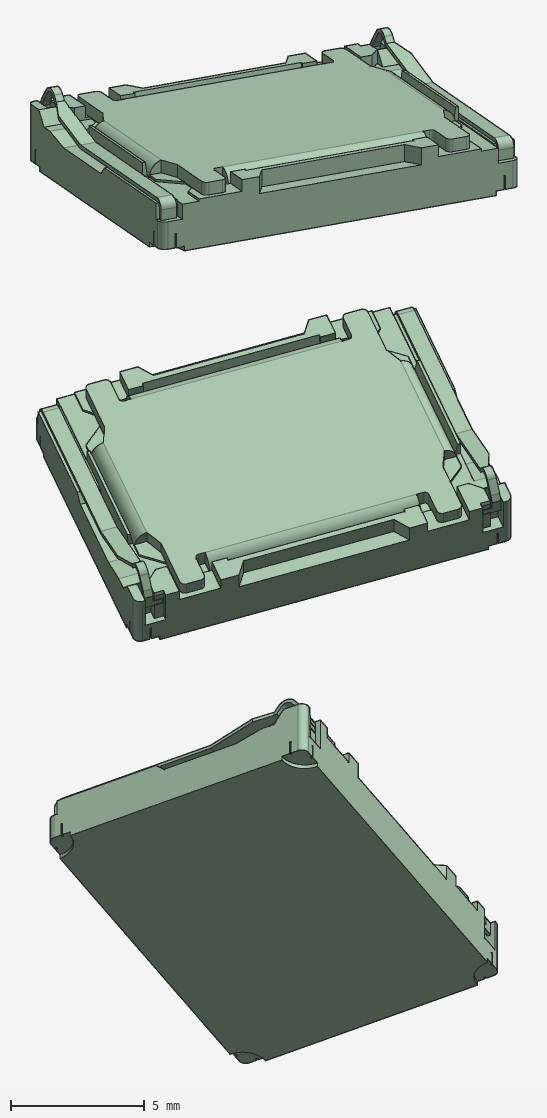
import cadquery as cq
import math

WIDTH = 11.0
LENGTH = 15.0
HEIGHT = 3.25
HALF_W = WIDTH / 2
HALF_L = LENGTH / 2

FRAME_TOP = 2.43
PAD_Z = 1.96
SHELF_Z = 1.88
SHELF_UNDERCUT = 0.08
CORNER_R = 0.28
ABOVE = FRAME_TOP + 0.15

PLATE_TOP = 2.48
ROLL_R = 0.63
ROLL_WIDTH = 0.5
ROLL_DROP = math.sqrt(ROLL_R**2 - (ROLL_R - ROLL_WIDTH) ** 2)
WELL_Z = PLATE_TOP - ROLL_DROP
PLATE_SIDE_X = 4.55
PLATE_TAB_X = 5.28
PLATE_END_Y = 5.6
TAB_INNER_Y = 4.62
TAB_CORNER_R = 0.202
RELIEF_CORNER_R = 0.15
SIDE_ROLL_Y = 4.2
END_ROLL_X = 2.37
END_SLOPE_X = 3.08
END_ROLL_Y = 6.4

TAB_POCKET_Y = (4.11, 5.76)
PAD_FLAT_X = 2.9
PAD_FOOT_X = 3.6
FAR_PAD_X = 4.28
FAR_PAD_Y = 5.91
BLOCK_X = -4.17
BLOCK_CHAMFER = 0.45
BAR_X = 2.2
BAR_TOP_Y = 6.5
BEVEL_Y = 3.51
BEVEL_W = 0.12

NOTCH_Z = 1.75
NOTCH_OUTER_Y = 3.39
NOTCH_INNER_Y = 2.98
NOTCH_DEPTH = 0.6

CHANNEL_Y = 6.62
CHANNEL_START_X = -4.59
CHANNEL_SLOPE_X = -3.68
CHANNEL_DEEP_X = (-2.55, 0.51)
CHANNEL_DEEP_Z = 1.59
CHANNEL_DROP_X = 5.08
CHANNEL_DROP_Z = 1.28
SLOT_Y = (6.68, 7.11)
SLOT_END_X = -4.62
SLOT_Z = 1.04
SLOT_MOUTH_Y = 6.3
RAMP_X = (-4.95, -4.83)
RAMP_Z = (1.26, 1.82)
MOUTH_X = -5.3
MOUTH_LIP_X = -5.25
MOUTH_LIP_Z = 2.3

SPRING_T = 0.15
SPRING_Z = 1.92
SPRING_Y = (6.74, 7.38)
HOOK_OUTER_Y = 7.08
TAPER_X = (-3.96, -3.21)
HOOK_X = -5.25
HOOK_BEND_Z = 2.34
HOOK_KNEE_Z = 2.58
CREST_X = -4.48
CREST_SLOPE = 52.0
CREST_BEND_R = 0.27
ARM_KNEE_Z = 2.8
ARM_FLAT_X = -1.41
SPRING_LEG_X = 5.19
LEG_BEND_R = 0.22
FOOT_Y = 6.35
FOOT_Z = (1.82, 2.07)

CORNER_CUT_R = 0.98
CORNER_CUT_H = 0.18
SLIT_INSET = 0.58
SLIT_W = 0.06
SLIT_TOP = 0.74
SLIT_DEPTH = 0.08


def block(x0, x1, y0, y1, z0, z1):
    """Box between two opposite corners."""
    return cq.Workplane("XY").box(x1 - x0, y1 - y0, z1 - z0, centered=False).translate((x0, y0, z0))


def prism(points, z0, z1):
    """Upright prism on an XY outline."""
    return cq.Workplane("XY").workplane(offset=z0).polyline(points).close().extrude(z1 - z0)


def xz_prism(points, y0, y1):
    """Prism along Y on an XZ outline."""
    return cq.Workplane("XZ", origin=(0, y0, 0)).polyline(points).close().extrude(y0 - y1)


def yz_prism(points, x0, x1):
    """Prism along X on a YZ outline."""
    return cq.Workplane("YZ", origin=(x0, 0, 0)).polyline(points).close().extrude(x1 - x0)


def both_ends(shape):
    """A feature of the +Y end together with its mirror at the -Y end."""
    return shape.union(shape.mirror("XZ"))


def both_sides(shape):
    """A feature of the +X side together with its mirror at the -X side."""
    return shape.union(shape.mirror("YZ"))


def plate_pocket():
    """Seat for the plate: a central well and the tab openings through the side walls."""
    well = block(-PLATE_SIDE_X, PLATE_SIDE_X, -PLATE_END_Y, PLATE_END_Y, PAD_Z, ABOVE)
    tabs = block(-HALF_W, HALF_W, *TAB_POCKET_Y, PAD_Z, ABOVE)
    end = block(BLOCK_X, HALF_W, PLATE_END_Y, CHANNEL_Y, PAD_Z, ABOVE)
    return well.union(both_ends(tabs.union(end)))


def roll_wells():
    """Deeper wells that take the rolled plate edges."""
    well_x = PLATE_SIDE_X - ROLL_WIDTH
    side = block(well_x, PLATE_SIDE_X, -TAB_INNER_Y, TAB_INNER_Y, WELL_Z, ABOVE)
    end = block(-END_ROLL_X, END_ROLL_X, END_ROLL_Y - ROLL_WIDTH, END_ROLL_Y, WELL_Z, ABOVE)
    return both_sides(side).union(both_ends(end))


def end_shelf():
    """Lower shelf between the plate pad and the spring channel."""
    under_plate_y = PLATE_END_Y - SHELF_UNDERCUT
    outline = [
        (BLOCK_X, under_plate_y),
        (-PAD_FOOT_X, under_plate_y),
        (-PAD_FOOT_X, PLATE_END_Y),
        (-PAD_FLAT_X, END_ROLL_Y),
        (PAD_FLAT_X, END_ROLL_Y),
        (PAD_FOOT_X, PLATE_END_Y),
        (PAD_FOOT_X, under_plate_y),
        (FAR_PAD_X, under_plate_y),
        (FAR_PAD_X, PLATE_END_Y),
        (FAR_PAD_X + FAR_PAD_Y - PLATE_END_Y, FAR_PAD_Y),
        (HALF_W, FAR_PAD_Y),
        (HALF_W, CHANNEL_Y),
        (CHANNEL_SLOPE_X, CHANNEL_Y),
        (CHANNEL_SLOPE_X, SLOT_Y[0]),
        (BLOCK_X - BLOCK_CHAMFER, SLOT_Y[0]),
        (BLOCK_X, SLOT_Y[0] - BLOCK_CHAMFER),
    ]
    return prism(outline, SHELF_Z, ABOVE)


def end_bar():
    """Low wall with a sloped inner face between the spring and the end roll."""
    outline = [
        (CHANNEL_Y, SHELF_Z),
        (END_ROLL_Y, SHELF_Z),
        (BAR_TOP_Y, FRAME_TOP),
        (CHANNEL_Y, FRAME_TOP),
    ]
    return yz_prism(outline, -BAR_X, BAR_X)


def spring_channel():
    """Channel under the spring, open to the end face and to the +X side."""
    outline = [
        (CHANNEL_START_X, ABOVE),
        (CHANNEL_START_X, FRAME_TOP),
        (BLOCK_X, SHELF_Z),
        (CHANNEL_SLOPE_X, SHELF_Z),
        (CHANNEL_DEEP_X[0], CHANNEL_DEEP_Z),
        (CHANNEL_DEEP_X[1], CHANNEL_DEEP_Z),
        (CHANNEL_DEEP_X[1] + SPRING_Z - CHANNEL_DEEP_Z, SPRING_Z),
        (CHANNEL_DROP_X, SPRING_Z),
        (CHANNEL_DROP_X, CHANNEL_DROP_Z),
        (HALF_W, CHANNEL_DROP_Z),
        (HALF_W, ABOVE),
    ]
    inner = xz_prism(outline, CHANNEL_Y, HALF_L)
    corner_block = block(-HALF_W, BLOCK_X, CHANNEL_Y, SLOT_Y[0], 0, ABOVE)
    return inner.cut(corner_block)


def hook_slot():
    """Slot in the -X side for the spring hook, widened at its mouth."""
    slot = xz_prism(
        [(-HALF_W, SLOT_Z), (RAMP_X[0], SLOT_Z), (RAMP_X[0], RAMP_Z[0]), (RAMP_X[1], RAMP_Z[1]),
         (SLOT_END_X, RAMP_Z[1]), (SLOT_END_X, ABOVE), (-HALF_W, ABOVE)],
        *SLOT_Y,
    )
    mouth = xz_prism(
        [(-HALF_W, SLOT_Z), (MOUTH_X, SLOT_Z), (MOUTH_X, MOUTH_LIP_Z),
         (MOUTH_LIP_X, FRAME_TOP), (-HALF_W, FRAME_TOP)],
        SLOT_MOUTH_Y, SLOT_Y[0],
    )
    return slot.union(mouth)


def side_notch():
    """Notch with slanted ends in the top edge of the +X wall."""
    outline = [
        (HALF_W, -NOTCH_OUTER_Y),
        (HALF_W - NOTCH_DEPTH, -NOTCH_INNER_Y),
        (HALF_W - NOTCH_DEPTH, NOTCH_INNER_Y),
        (HALF_W, NOTCH_OUTER_Y),
    ]
    return prism(outline, NOTCH_Z, ABOVE)


def side_bevel():
    """Sloped inner face of the +X wall beside the roll."""
    outline = [
        (PLATE_SIDE_X, WELL_Z),
        (PLATE_SIDE_X + BEVEL_W, FRAME_TOP),
        (PLATE_SIDE_X, FRAME_TOP),
    ]
    return xz_prism(outline, -BEVEL_Y, BEVEL_Y)


def underside_corner():
    """Round step and the two thin wall slits at one underside corner (+X, +Y)."""
    step = cq.Workplane("XY", origin=(HALF_W, HALF_L, 0)).circle(CORNER_CUT_R).extrude(CORNER_CUT_H)
    slit_x = HALF_W - SLIT_INSET
    slit_y = HALF_L - SLIT_INSET
    end_slit = block(slit_x - SLIT_W, slit_x, HALF_L - SLIT_DEPTH, HALF_L, 0, SLIT_TOP)
    side_slit = block(HALF_W - SLIT_DEPTH, HALF_W, slit_y - SLIT_W, slit_y, 0, SLIT_TOP)
    return step.union(end_slit).union(side_slit)


def make_frame():
    """Frame with the plate seat, spring channels, hook slots and wall notches."""
    frame = block(-HALF_W, HALF_W, -HALF_L, HALF_L, 0, FRAME_TOP)
    frame = frame.edges("|Z").fillet(CORNER_R)
    frame = frame.cut(plate_pocket()).cut(roll_wells())
    for feature in (end_shelf(), spring_channel(), hook_slot()):
        frame = frame.cut(both_ends(feature))
    for feature in (side_notch(), side_bevel()):
        frame = frame.cut(both_sides(feature))
    frame = frame.cut(both_sides(both_ends(underside_corner())))
    return frame.union(both_ends(end_bar()))


def roll_section(plane, foot):
    """Rolled edge section: an arc falling from the plate top to an upright foot."""
    start = foot - ROLL_WIDTH
    start_angle = math.atan2(ROLL_DROP, ROLL_R - ROLL_WIDTH)
    arc_x = foot - ROLL_R + ROLL_R * math.cos(start_angle / 2)
    arc_z = WELL_Z + ROLL_R * math.sin(start_angle / 2)
    section = plane.moveTo(start, WELL_Z).lineTo(start, PLATE_TOP)
    return section.threePointArc((arc_x, arc_z), (foot, WELL_Z)).close()


def make_plate():
    """Cover plate with four corner tabs and its edges rolled down between them."""
    roll_start_x = PLATE_SIDE_X - ROLL_WIDTH
    tabs = block(-PLATE_TAB_X, PLATE_TAB_X, TAB_INNER_Y, PLATE_END_Y, PAD_Z, PLATE_TOP)
    tabs = tabs.edges("|Z").fillet(TAB_CORNER_R)
    core = block(-roll_start_x, roll_start_x, -PLATE_END_Y, PLATE_END_Y, PAD_Z, PLATE_TOP)
    side_roll = cq.Workplane("XZ", origin=(0, SIDE_ROLL_Y, 0))
    side_roll = roll_section(side_roll, PLATE_SIDE_X).extrude(2 * SIDE_ROLL_Y)
    relief = block(roll_start_x, PLATE_SIDE_X, 0, TAB_INNER_Y, WELL_Z, PLATE_TOP)
    corner_web = block(0, roll_start_x + RELIEF_CORNER_R, SIDE_ROLL_Y, TAB_INNER_Y, WELL_Z, PLATE_TOP)
    relief = relief.edges("|Z and <X and >Y").fillet(RELIEF_CORNER_R)
    slope_end_y = END_ROLL_Y - ROLL_WIDTH
    slopes = prism(
        [(-END_SLOPE_X, PLATE_END_Y), (-END_ROLL_X, slope_end_y),
         (END_ROLL_X, slope_end_y), (END_SLOPE_X, PLATE_END_Y)],
        PAD_Z, PLATE_TOP,
    )
    end_roll = cq.Workplane("YZ", origin=(-END_ROLL_X, 0, 0))
    end_roll = roll_section(end_roll, END_ROLL_Y).extrude(2 * END_ROLL_X)
    plate = core.union(both_sides(both_ends(corner_web.cut(relief)))).union(both_sides(side_roll))
    return plate.union(both_ends(tabs.union(slopes).union(end_roll)))


def strip_outline(path, thickness):
    """Closed outline of a strip of even thickness along a bent centre line."""
    angles = [math.atan2(b[1] - a[1], b[0] - a[0]) for a, b in zip(path, path[1:])]
    left = []
    right = []
    for i, (x, z) in enumerate(path):
        before = angles[max(i - 1, 0)]
        after = angles[min(i, len(angles) - 1)]
        middle = (before + after) / 2
        reach = thickness / 2 / math.cos((after - before) / 2)
        dx = -reach * math.sin(middle)
        dz = reach * math.cos(middle)
        left.append((x + dx, z + dz))
        right.append((x - dx, z - dz))
    return left + right[::-1]


def round_bend(spring, x, z, inner_r):
    """Round one upward bend of the strip, with inner and outer faces concentric."""
    reach = 2 * SPRING_T
    window = cq.selectors.BoxSelector((x - reach, 0, z - reach), (x + reach, HALF_L, z + reach))
    spring = spring.edges("|Y").edges(window).edges("<Z").fillet(inner_r)
    return spring.edges("|Y").edges(window).edges(">Z").fillet(inner_r + SPRING_T)


def make_spring():
    """Bent contact strip: hook and crest at -X, flat arm on the channel floor, leg down at +X."""
    arm_z = SPRING_Z + SPRING_T / 2
    slope = math.radians(CREST_SLOPE)
    crest_z = HEIGHT - SPRING_T / 2
    apex_z = crest_z + (CREST_BEND_R + SPRING_T / 2) * (1 / math.cos(slope) - 1)
    path = [
        (HOOK_X, FOOT_Z[0]),
        (HOOK_X, HOOK_BEND_Z),
        (CREST_X - (apex_z - HOOK_KNEE_Z) / math.tan(slope), HOOK_KNEE_Z),
        (CREST_X, apex_z),
        (CREST_X + (apex_z - ARM_KNEE_Z) / math.tan(slope), ARM_KNEE_Z),
        (ARM_FLAT_X, arm_z),
        (SPRING_LEG_X, arm_z),
        (SPRING_LEG_X, CHANNEL_DROP_Z),
    ]
    spring = xz_prism(strip_outline(path, SPRING_T), *SPRING_Y)
    spring = round_bend(spring, CREST_X, apex_z, CREST_BEND_R)
    spring = round_bend(spring, SPRING_LEG_X, arm_z, LEG_BEND_R)
    beside_hook = prism(
        [(-HALF_W, HOOK_OUTER_Y), (TAPER_X[0], HOOK_OUTER_Y),
         (TAPER_X[1], SPRING_Y[1]), (TAPER_X[1], HALF_L), (-HALF_W, HALF_L)],
        0, HEIGHT,
    )
    spring = spring.cut(beside_hook)
    foot = block(HOOK_X - SPRING_T / 2, HOOK_X + SPRING_T / 2, FOOT_Y, HOOK_OUTER_Y, *FOOT_Z)
    return spring.union(foot)


result = make_frame().union(make_plate()).union(both_ends(make_spring()))